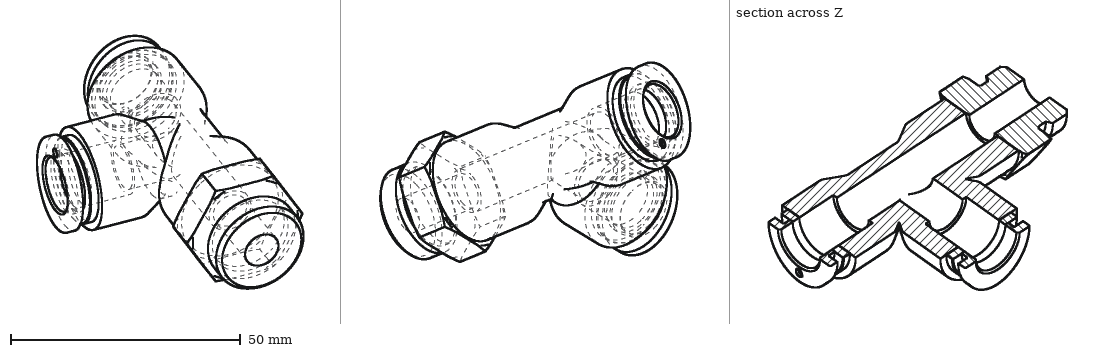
import cadquery as cq
import math


arm_d = 23.2
waist_d = 17.45
bore_d = 10.0
arm_length = 24.6
tube_d = 12.2
tube_stop = 14.35
shoulder_start = 12.7
shoulder_angle = 30.0
shoulder_round = 2.0
shoulder_length = (arm_d - waist_d) / 2 / math.tan(math.radians(shoulder_angle))
shoulder_end = shoulder_start - shoulder_length

port_reach = 30.6
sleeve_od = 14.2
flange_width = 19.6
flange_height = 22.4
flange_thickness = 2.2
flange_round = 0.35
mouth_chamfer = 0.5
dot_d = 2.0
dot_offset = 8.5
dot_depth = 0.7

collar_d = 19.6
collar_end = 26.65
collar_chamfer = 0.2

fitting_end = 41.2
fitting_bore_d = 8.0
hex_flats = 24.0
hex_corners = hex_flats / math.cos(math.radians(30))
hex_length = 8.05
hex_end = arm_length + hex_length
hex_chamfer_d = 25.1
hex_chamfer_depth = 0.4
neck_d = 18.2
neck_round = 0.65
thread_d = 21.0
thread_start = 35.2
thread_lead_in = 0.8
thread_chamfer = 1.0

run_plane = cq.Plane(origin=(0, 0, 0), xDir=(0, 1, 0), normal=(-1, 0, 0))
branch_plane = cq.Plane(origin=(0, 0, 0), xDir=(1, 0, 0), normal=(0, -1, 0))
fitting_plane = cq.Plane(origin=(0, 0, 0), xDir=(0, 1, 0), normal=(1, 0, 0))
port_planes = [run_plane, branch_plane]


def along(plane, part):
    """Move a part built along +Z onto the arm with the given frame."""
    return cq.Workplane(part.val().moved(plane.location))


def cylinder(diameter, start, end):
    return cq.Workplane("XY").workplane(offset=start).circle(diameter / 2).extrude(end - start)


def revolved(points):
    """Turn an outline of (radius, distance) points about the Z axis."""
    return cq.Workplane("XZ").polyline(points).close().revolve(360, (0, 0, 0), (0, 1, 0))


def make_arm(waist_rounded):
    """Solid arm with the outer end of its shoulder cone rounded, and the waist end if asked."""
    arm = revolved([
        (0, 0),
        (waist_d / 2, 0),
        (waist_d / 2, shoulder_end),
        (arm_d / 2, shoulder_start),
        (arm_d / 2, arm_length),
        (0, arm_length),
    ])
    shoulder = arm.faces("%CONE").edges("%CIRCLE")
    rounded = shoulder if waist_rounded else shoulder.edges(">Z")
    return rounded.fillet(shoulder_round)


def make_housing():
    housing = along(fitting_plane, make_arm(waist_rounded=True))
    housing = housing.union(along(run_plane, make_arm(waist_rounded=True)))
    housing = housing.union(along(branch_plane, make_arm(waist_rounded=False)))
    for plane in [fitting_plane, *port_planes]:
        housing = housing.cut(along(plane, cylinder(bore_d, 0, arm_length)))
    for plane in port_planes:
        housing = housing.cut(along(plane, cylinder(tube_d, tube_stop, arm_length)))
    return housing


def make_collar():
    collar = cylinder(collar_d, arm_length, collar_end)
    collar = collar.faces(">Z").edges().chamfer(collar_chamfer)
    return collar.cut(cylinder(tube_d, arm_length, collar_end))


def make_sleeve():
    flange = (
        cq.Workplane("XY")
        .workplane(offset=port_reach - flange_thickness)
        .ellipse(flange_width / 2, flange_height / 2)
        .extrude(flange_thickness)
        .faces(">Z")
        .edges()
        .fillet(flange_round)
    )
    dot = (
        cq.Workplane("XY")
        .workplane(offset=port_reach - dot_depth)
        .center(0, dot_offset)
        .circle(dot_d / 2)
        .extrude(dot_depth)
    )
    sleeve = cylinder(sleeve_od, collar_end, port_reach).union(flange)
    sleeve = sleeve.cut(cylinder(tube_d, collar_end, port_reach))
    sleeve = sleeve.faces(">Z").edges("%CIRCLE").chamfer(mouth_chamfer)
    return sleeve.cut(dot)


def make_hexagon():
    """Hexagon with two corners on the X axis, bevelled at both ends."""
    hexagon = (
        cq.Workplane("XY").workplane(offset=arm_length).polygon(6, hex_corners).extrude(hex_length)
    )
    bevel = revolved([
        (0, arm_length),
        (hex_chamfer_d / 2, arm_length),
        (hex_corners / 2, arm_length + hex_chamfer_depth),
        (hex_corners / 2, hex_end - hex_chamfer_depth),
        (hex_chamfer_d / 2, hex_end),
        (0, hex_end),
    ])
    return hexagon.intersect(bevel)


def make_fitting():
    stub = revolved([
        (0, arm_length),
        (neck_d / 2, arm_length),
        (neck_d / 2, thread_start),
        (thread_d / 2, thread_start + thread_lead_in),
        (thread_d / 2, fitting_end - thread_chamfer),
        (thread_d / 2 - thread_chamfer, fitting_end),
        (0, fitting_end),
    ])
    fitting = make_hexagon().union(stub)
    neck_root = fitting.edges("%CIRCLE").edges(cq.selectors.NearestToPointSelector((0, 0, hex_end)))
    fitting = neck_root.fillet(neck_round)
    return fitting.cut(cylinder(fitting_bore_d, arm_length, fitting_end))


housing = make_housing()
fitting = along(fitting_plane, make_fitting())
collars = [along(plane, make_collar()) for plane in port_planes]
sleeves = [along(plane, make_sleeve()) for plane in port_planes]

result = cq.Compound.makeCompound([
    housing.val(),
    fitting.val(),
    *[collar.val() for collar in collars],
    *[sleeve.val() for sleeve in sleeves],
])